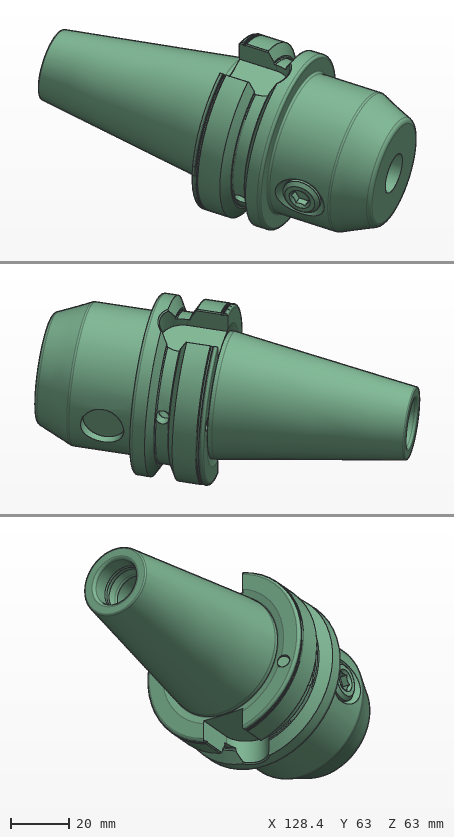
import cadquery as cq
import math

LENGTH = 128.4
TAPER_LENGTH = 65.4
TAPER_RATIO = 7 / 24
TAPER_RADIUS = 22.2
TAPER_TIP_RADIUS = TAPER_RADIUS - TAPER_LENGTH * TAPER_RATIO / 2
TAPER_TIP_ROUND = 0.5

FLANGE_RADIUS = 63.0 / 2
FLANGE_START = 66.4
FLANGE_END = 92.3
FLANGE_ROUND = 1.0
RECESS_DEPTH = 0.5
RECESS_RADIUS = 25.0
RECESS_FLOOR_RADIUS = 22.5

FINE_GROOVE_START = 68.0
FINE_GROOVE_END = 68.7
FINE_GROOVE_DEPTH = 0.8
FINE_GROOVE_ROUND = 0.3

GRIP_CENTER = 82.0
GRIP_FLOOR_WIDTH = 5.0
GRIP_FLOOR_RADIUS = 26.5
GRIP_FLARE_RADIUS = 27.5
GRIP_FLARE_ANGLE = 30.0
GRIP_FLARE_RUN = (FLANGE_RADIUS - GRIP_FLARE_RADIUS) * math.tan(math.radians(GRIP_FLARE_ANGLE))
GRIP_ROUND = 0.4

NOSE_RADIUS = 25.0
NOSE_ROOT_ROUND = 0.8
NOSE_CONE_START = 115.3
NOSE_END_RADIUS = 19.3
NOSE_CONE_ROUND = 1.9
NOSE_END_ROUND = 2.0

BORE_RADIUS = 7.0
COUNTERBORE_RADIUS = 8.5
COUNTERBORE_DEPTH = 6.4
COUNTERBORE_MOUTH_ROUND = 1.0
BORE_LEAD_RADIUS = 8.2
BORE_LEAD_START = 7.2
BORE_LEAD_END = 8.6
BORE_CONE_RADIUS = 7.5
BORE_CONE_END = 11.0
BORE_START = 12.0

SLOT_WIDTH = 16.0
SLOT_END = 88.5
SLOT_FLOOR = RECESS_FLOOR_RADIUS
SLOT_EDGE_CHAMFER = 0.5

DRILL_TURN = 20.0
FACE_DRILL_RADIUS = 2.25
FACE_DRILL_OFFSET = 26.6
FACE_DRILL_TILT = 30.0
FACE_DRILL_DEPTH = 1.8
GRIP_DRILL_RADIUS = 2.5
GRIP_DRILL_DEPTH = 5.4
DRILL_POINT_ANGLE = 118.0

SCREW_X = 104.4
SCREW_RADIUS = 6.9
SCREW_TIP = 9.0
SCREW_CHAMFER = 1.3
SCREW_HEX_ACROSS_FLATS = 5.9
SCREW_HEX_DEPTH = 3.3
SCREW_HEX_MOUTH_RADIUS = 4.0
SCREW_SINK_RADIUS = 9.2
BALANCE_X = 103.2
BALANCE_RADIUS = 7.6
BALANCE_DEPTH = 3.9


def body_of_revolution():
    """Solid of the holder turned about X, bore included."""
    grip_floor_start = GRIP_CENTER - GRIP_FLOOR_WIDTH / 2
    grip_floor_end = GRIP_CENTER + GRIP_FLOOR_WIDTH / 2
    fine_floor_radius = FLANGE_RADIUS - FINE_GROOVE_DEPTH
    recess_floor_x = FLANGE_START + RECESS_DEPTH
    outline = [
        (0, COUNTERBORE_RADIUS),
        (0, TAPER_TIP_RADIUS),
        (TAPER_LENGTH, TAPER_RADIUS),
        (recess_floor_x, TAPER_RADIUS),
        (recess_floor_x, RECESS_FLOOR_RADIUS),
        (FLANGE_START, RECESS_RADIUS),
        (FLANGE_START, FLANGE_RADIUS),
        (FINE_GROOVE_START, FLANGE_RADIUS),
        (FINE_GROOVE_START, fine_floor_radius),
        (FINE_GROOVE_END, fine_floor_radius),
        (FINE_GROOVE_END, FLANGE_RADIUS),
        (grip_floor_start - GRIP_FLARE_RUN, FLANGE_RADIUS),
        (grip_floor_start, GRIP_FLARE_RADIUS),
        (grip_floor_start, GRIP_FLOOR_RADIUS),
        (grip_floor_end, GRIP_FLOOR_RADIUS),
        (grip_floor_end, GRIP_FLARE_RADIUS),
        (grip_floor_end + GRIP_FLARE_RUN, FLANGE_RADIUS),
        (FLANGE_END, FLANGE_RADIUS),
        (FLANGE_END, NOSE_RADIUS),
        (NOSE_CONE_START, NOSE_RADIUS),
        (LENGTH, NOSE_END_RADIUS),
        (LENGTH, BORE_RADIUS),
        (BORE_START, BORE_RADIUS),
        (BORE_CONE_END, BORE_CONE_RADIUS),
        (BORE_LEAD_END, BORE_LEAD_RADIUS),
        (BORE_LEAD_START, BORE_LEAD_RADIUS),
        (COUNTERBORE_DEPTH, COUNTERBORE_RADIUS),
    ]
    body = cq.Workplane("XY").polyline(outline).close().revolve(360, (0, 0, 0), (1, 0, 0))
    rounds = [
        (0, COUNTERBORE_RADIUS, COUNTERBORE_MOUTH_ROUND),
        (0, TAPER_TIP_RADIUS, TAPER_TIP_ROUND),
        (FLANGE_START, FLANGE_RADIUS, FLANGE_ROUND),
        (FINE_GROOVE_START, FLANGE_RADIUS, FINE_GROOVE_ROUND),
        (FINE_GROOVE_END, FLANGE_RADIUS, FINE_GROOVE_ROUND),
        (grip_floor_start, GRIP_FLOOR_RADIUS, GRIP_ROUND),
        (grip_floor_end, GRIP_FLOOR_RADIUS, GRIP_ROUND),
        (FLANGE_END, FLANGE_RADIUS, FLANGE_ROUND),
        (FLANGE_END, NOSE_RADIUS, NOSE_ROOT_ROUND),
        (NOSE_CONE_START, NOSE_RADIUS, NOSE_CONE_ROUND),
        (LENGTH, NOSE_END_RADIUS, NOSE_END_ROUND),
    ]
    for x, radius, size in rounds:
        body = body.newObject([turned_edge(body, x, radius)]).fillet(size)
    return body


def turned_edge(body, x, radius):
    """The circular edge of the turned body at the given axial place and radius."""
    for edge in body.edges("%CIRCLE").vals():
        if abs(edge.Center().x - x) < 0.01 and abs(edge.radius() - radius) < 0.01:
            return edge


def drive_slot(side):
    """Round-ended key slot cutter above (side = 1) or below (side = -1) the axis."""
    round_center = SLOT_END - SLOT_WIDTH / 2
    return (
        cq.Workplane("XY")
        .workplane(offset=side * SLOT_FLOOR)
        .moveTo(TAPER_LENGTH, -SLOT_WIDTH / 2)
        .lineTo(round_center, -SLOT_WIDTH / 2)
        .threePointArc((SLOT_END, 0), (round_center, SLOT_WIDTH / 2))
        .lineTo(TAPER_LENGTH, SLOT_WIDTH / 2)
        .close()
        .extrude(side * (FLANGE_RADIUS - SLOT_FLOOR))
    )


def slot_end_rims(body):
    """Curved edges where the rounded slot ends break through the rim of the flange."""
    def on_rim(edge):
        middle = edge.positionAt(0.5)
        at_rim = abs(math.hypot(middle.y, middle.z) - FLANGE_RADIUS) < 0.01
        return at_rim and abs(middle.x - SLOT_END) < 0.01 and abs(middle.y) < 0.01

    return body.newObject([edge for edge in body.edges().vals() if on_rim(edge)])


def slot_side_chamfers(side):
    """Cutter that bevels both straight edges of one slot, ahead of its rounded end."""
    half_width = SLOT_WIDTH / 2
    corner = math.sqrt(FLANGE_RADIUS ** 2 - half_width ** 2)
    low = side * (corner - SLOT_EDGE_CHAMFER)
    high = side * FLANGE_RADIUS
    spread = half_width + FLANGE_RADIUS - corner + SLOT_EDGE_CHAMFER
    return (
        cq.Workplane("YZ", origin=(TAPER_LENGTH, 0, 0))
        .polyline([(-half_width, low), (half_width, low), (spread, high), (-spread, high)])
        .close()
        .extrude(SLOT_END - half_width - TAPER_LENGTH)
    )


def drill_outward(side):
    """Unit vector away from the axis, through the drillings of one side (1 or -1)."""
    turn = math.radians(DRILL_TURN)
    return cq.Vector(0, side * math.cos(turn), side * math.sin(turn))


def face_drilling(side):
    """Short tilted flat-bottomed hole in the flange face."""
    tilt = math.radians(FACE_DRILL_TILT)
    outward = drill_outward(side)
    direction = cq.Vector(math.cos(tilt), 0, 0) - outward * math.sin(tilt)
    mouth = cq.Vector(FLANGE_START, 0, 0) + outward * FACE_DRILL_OFFSET
    lead = 2 * FACE_DRILL_RADIUS
    return cq.Workplane(cq.Solid.makeCylinder(
        FACE_DRILL_RADIUS, FACE_DRILL_DEPTH + lead, mouth - direction * lead, direction
    ))


def grip_drilling(side):
    """Radial hole with a drill point, in the floor of the gripper groove."""
    outward = drill_outward(side)
    point_height = GRIP_DRILL_RADIUS / math.tan(math.radians(DRILL_POINT_ANGLE / 2))
    bottom = cq.Vector(GRIP_CENTER, 0, 0) + outward * (GRIP_FLOOR_RADIUS - GRIP_DRILL_DEPTH)
    shaft = cq.Solid.makeCylinder(GRIP_DRILL_RADIUS, GRIP_DRILL_DEPTH, bottom, outward)
    point = cq.Solid.makeCone(GRIP_DRILL_RADIUS, 0, point_height, bottom, outward * -1)
    return cq.Workplane(shaft).union(cq.Workplane(point))


def screw_hole():
    """Countersunk radial hole on the -Y side, from outside the nose into the bore."""
    sink_depth = SCREW_SINK_RADIUS - SCREW_RADIUS
    return (
        cq.Workplane("XY")
        .polyline([
            (0, 0),
            (SCREW_RADIUS, 0),
            (SCREW_RADIUS, -NOSE_RADIUS + sink_depth),
            (SCREW_SINK_RADIUS, -NOSE_RADIUS),
            (0, -NOSE_RADIUS),
        ])
        .close()
        .revolve(360, (0, 0, 0), (0, 1, 0))
        .translate((SCREW_X, 0, 0))
    )


def balance_bore():
    """Shallow flat-bottomed bore on the +Y side."""
    return cq.Workplane(cq.Solid.makeCylinder(
        BALANCE_RADIUS, BALANCE_DEPTH, cq.Vector(BALANCE_X, NOSE_RADIUS, 0), cq.Vector(0, -1, 0)
    ))


def make_holder():
    holder = body_of_revolution()
    for side in (1, -1):
        holder = holder.cut(drive_slot(side))
    holder = slot_end_rims(holder).chamfer(SLOT_EDGE_CHAMFER)
    for side in (1, -1):
        holder = holder.cut(slot_side_chamfers(side))
    for side in (1, -1):
        holder = holder.cut(face_drilling(side)).cut(grip_drilling(side))
    return holder.cut(screw_hole()).cut(balance_bore()).solids()


def make_clamp_screw():
    head = cq.Workplane("XZ", origin=(SCREW_X, -NOSE_RADIUS, 0))
    hex_across_corners = SCREW_HEX_ACROSS_FLATS / math.cos(math.pi / 6)
    mouth_depth = SCREW_HEX_MOUTH_RADIUS - SCREW_HEX_ACROSS_FLATS / 2
    screw = (
        head.circle(SCREW_RADIUS).extrude(-(NOSE_RADIUS - SCREW_TIP))
        .faces("<Y").chamfer(SCREW_CHAMFER)
    )
    mouth = cq.Workplane(cq.Solid.makeCone(
        SCREW_HEX_MOUTH_RADIUS, SCREW_HEX_ACROSS_FLATS / 2, mouth_depth,
        cq.Vector(SCREW_X, -NOSE_RADIUS, 0), cq.Vector(0, 1, 0),
    ))
    socket = head.polygon(6, hex_across_corners).extrude(-SCREW_HEX_DEPTH)
    return screw.cut(socket).cut(mouth).solids()


holder = make_holder()
clamp_screw = make_clamp_screw()
result = cq.Compound.makeCompound([holder.val(), clamp_screw.val()])